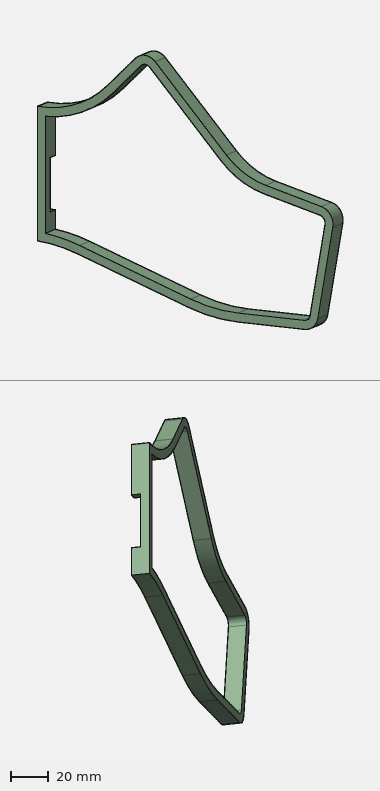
import cadquery as cq

depth = 10.0
wall = depth / 2

left_height = 74.5
upper_bend = (26.1, left_height)
peak = (68.0, 116.4)
valley = (129.6, 54.8)
right_top = (188.0, 44.0)
right_bottom = (175.7, -23.5)
bottom_bend = (111.0, -26.9)
lower_bend = (12.9, 0)

corner_radius = 9.0
upper_bend_radius = 61.2
valley_radius = 47.2
bottom_bend_radius = 100.0
lower_bend_radius = 95.5

notch_bottom = 15.7
notch_height = 30.0
notch_depth = depth / 2


def round_corner(outline, corner, radius):
    """Fillet the edge of the solid outline that runs along Y at a corner."""
    x, z = corner
    edge = outline.edges("|Y").edges(cq.NearestToPointSelector((x, depth / 2, z)))
    return edge.fillet(radius)


def make_outer_body():
    """Extrude the sharp outline toward +Y and round its corners."""
    roundings = [
        (upper_bend, upper_bend_radius),
        (peak, corner_radius),
        (valley, valley_radius),
        (right_top, corner_radius),
        (right_bottom, corner_radius),
        (bottom_bend, bottom_bend_radius),
        (lower_bend, lower_bend_radius),
    ]
    corners = [(0, 0), (0, left_height)] + [corner for corner, radius in roundings]
    body = cq.Workplane("XZ").polyline(corners).close().extrude(-depth)
    for corner, radius in roundings:
        body = round_corner(body, corner, radius)
    return body


def make_opening(body):
    """Inner outline, one wall thickness inside the outer one."""
    outline = body.faces("<Y").wires().val()
    inner = cq.Workplane("XZ").add(outline).toPending().offset2D(-wall)
    return inner.extrude(-depth)


def make_notch():
    """Box that removes the rear half of the left wall over the notch height."""
    notch = cq.Workplane("XY").box(wall * 2, notch_depth, notch_height, centered=False)
    return notch.translate((-wall / 2, depth - notch_depth, notch_bottom))


outer_body = make_outer_body()
result = outer_body.cut(make_opening(outer_body)).cut(make_notch())